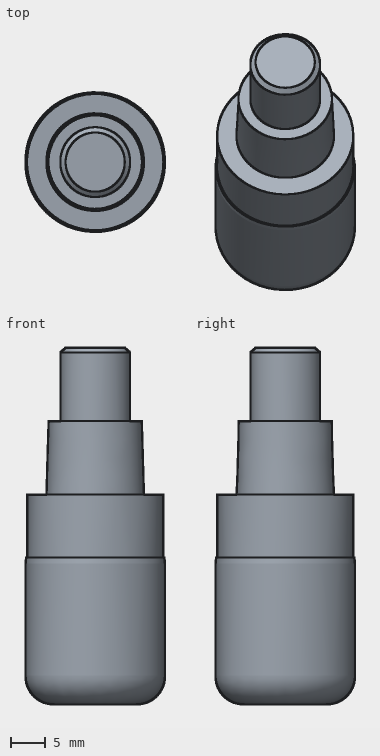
import cadquery as cq

total_height = 51.0
cap_height = 21.0
collar_top = 30.0
taper_top = 40.5

cap_radius = 10.0
cap_rim_radius = 9.9
cap_rim_height = 0.9
cap_bottom_fillet = 4.1

collar_radius = 9.75
taper_bottom_radius = 7.0
taper_top_radius = 6.7
shank_radius = 5.0
chamfer_width = 0.75
chamfer_height = 0.65


def make_cap():
    """Solid round cap, revolved about Z, with its bottom face at Z = 0."""
    rim_bottom = cap_height - cap_rim_height
    return (
        cq.Workplane("XY")
        .circle(cap_radius)
        .extrude(rim_bottom)
        .faces("<Z")
        .edges()
        .fillet(cap_bottom_fillet)
        .union(make_cap_rim(rim_bottom))
    )


def make_cap_rim(rim_bottom):
    """Short cone that narrows the cap towards the collar."""
    return cq.Workplane(
        cq.Solid.makeCone(cap_radius, cap_rim_radius, cap_rim_height, cq.Vector(0, 0, rim_bottom))
    )


def make_stud():
    """Stepped stud standing on the flat top of the cap."""
    profile = [
        (0, cap_height),
        (collar_radius, cap_height),
        (collar_radius, collar_top),
        (taper_bottom_radius, collar_top),
        (taper_top_radius, taper_top),
        (shank_radius, taper_top),
        (shank_radius, total_height - chamfer_height),
        (shank_radius - chamfer_width, total_height),
        (0, total_height),
    ]
    axis_start = (0, 0)
    axis_end = (0, 1)
    return cq.Workplane("XZ").polyline(profile).close().revolve(360, axis_start, axis_end)


cap = make_cap()
stud = make_stud()

result = cq.Compound.makeCompound([cap.val(), stud.val()])